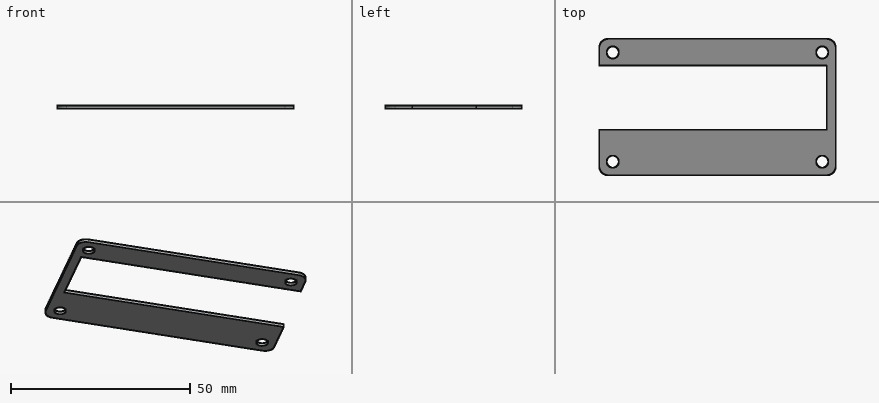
import cadquery as cq

length = 66.05
width = 38.1
thickness = 1.0
corner_radius = 2.65

hole_diameter = 3.3
hole_inset = 3.8

slot_width = 17.8
top_rail_width = 7.5
end_wall = 2.65

slot_length = length - end_wall
slot_center_y = width / 2 - top_rail_width - slot_width / 2

plate = (
    cq.Workplane("XY")
    .box(length, width, thickness)
    .edges("|Z")
    .fillet(corner_radius)
)

slot = (
    cq.Workplane("XY")
    .box(slot_length, slot_width, thickness)
    .translate((-end_wall / 2, slot_center_y, 0))
)

result = (
    plate.cut(slot)
    .faces(">Z")
    .workplane(origin=(0, 0, 0))
    .rect(length - 2 * hole_inset, width - 2 * hole_inset, forConstruction=True)
    .vertices()
    .hole(hole_diameter)
)